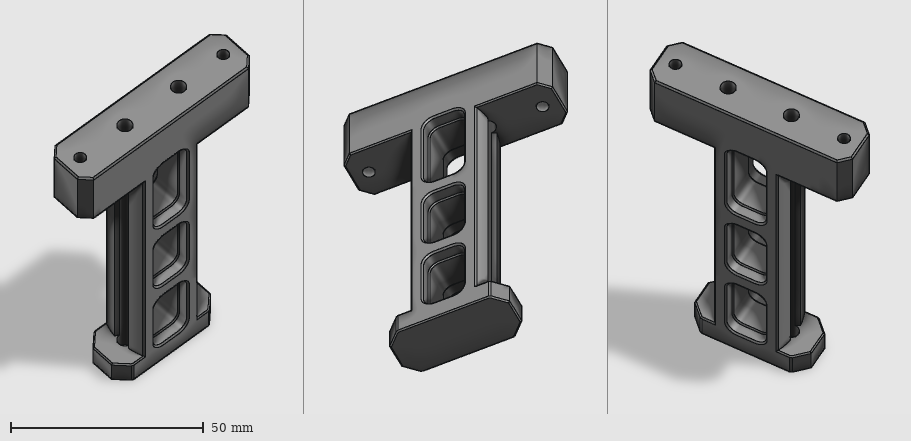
import cadquery as cq
import math

thickness = 15.0
total_height = 99.5
half_thickness = thickness / 2
edge_chamfer = 0.5
rim_chamfer = 0.4

head_length = 60.0
head_height = 17.4
head_corner = 3.0
head_bottom = total_height - head_height

foot_length = 34.5
foot_height = 7.0
foot_corner = 3.9

crown_apex = 10.7
crown_radius = 19.9
column_flat_half = 9.0
column_corner_x = half_thickness - edge_chamfer

end_hole_diameter = 3.3
end_hole_offset = 25.0
bolt_hole_diameter = 4.2
bolt_hole_offset = 9.4
bolt_hole_depth_in_foot = 5.0
flare_half_width = 2.7

window_width = 11.7
window_corner_radius = 3.3
window_pocket_depth = 3.2
window_ledge = 0.4
window_gap = 4.8
lowest_window_bottom = 6.7
window_heights = (20.8, 20.8, 26.6)


def plate(length, height, corner):
    """Plate on Z = 0 with its four upright corners cut at 45 degrees."""
    return (
        cq.Workplane("XY")
        .box(thickness, length, height, centered=(True, True, False))
        .edges("|Z")
        .chamfer(corner)
    )


def head_block():
    block = plate(head_length, head_height, head_corner)
    block = block.faces(">Z").chamfer(edge_chamfer)
    block = block.faces("<Z").chamfer(rim_chamfer)
    return block.translate((0, 0, head_bottom))


def foot_plate():
    foot = plate(foot_length, foot_height, foot_corner)
    foot = foot.faces("<X or >X").edges("|Z").chamfer(rim_chamfer)
    return foot.faces("<Z or >Z").chamfer(rim_chamfer)


def crown_point(x, side):
    """Point at a given X on the crowned column end of one side (1 is +Y, -1 is -Y)."""
    return x, side * (crown_apex - crown_radius + math.sqrt(crown_radius**2 - x**2))


def column():
    """Upright column; the flared mouths of the bolt grooves are part of its outline."""
    arc_middle_x = (column_corner_x + flare_half_width) / 2
    groove_half_width = bolt_hole_diameter / 2
    outline = cq.Workplane("XY").moveTo(half_thickness, -column_flat_half)
    for side in (1, -1):
        outline = (
            outline.lineTo(side * half_thickness, side * column_flat_half)
            .lineTo(*crown_point(side * column_corner_x, side))
            .threePointArc(
                crown_point(side * arc_middle_x, side),
                crown_point(side * flare_half_width, side),
            )
            .lineTo(side * groove_half_width, side * bolt_hole_offset)
            .lineTo(-side * groove_half_width, side * bolt_hole_offset)
            .lineTo(*crown_point(-side * flare_half_width, side))
            .threePointArc(
                crown_point(-side * arc_middle_x, side),
                crown_point(-side * column_corner_x, side),
            )
            .lineTo(-side * half_thickness, side * column_flat_half)
        )
    bottom = foot_height - rim_chamfer
    height = head_bottom + rim_chamfer - bottom
    return outline.close().extrude(height).translate((0, 0, bottom))


def vertical_holes(diameter, offset, bottom):
    return (
        cq.Workplane("XY", origin=(0, 0, bottom))
        .pushPoints([(0, offset), (0, -offset)])
        .circle(diameter / 2)
        .extrude(total_height - bottom)
    )


def rounded_prism(width, height, radius, depth):
    """Rounded rectangle in the YZ plane, extruded symmetrically along X."""
    return (
        cq.Workplane("XY")
        .box(depth, width, height)
        .edges("|X")
        .fillet(radius)
    )


def window(bottom, height):
    """Cutter for one window."""
    opening = rounded_prism(
        window_width - 2 * window_ledge,
        height - 2 * window_ledge,
        window_corner_radius - window_ledge,
        thickness,
    )
    pocket_depth = window_pocket_depth + window_ledge
    pocket = rounded_prism(window_width, height, window_corner_radius, pocket_depth)
    pocket = pocket.faces("<X").chamfer(window_ledge)
    pocket = pocket.translate((half_thickness - pocket_depth / 2, 0, 0))
    mouth = rounded_prism(
        window_width + 2 * edge_chamfer,
        height + 2 * edge_chamfer,
        window_corner_radius + edge_chamfer,
        2 * edge_chamfer,
    )
    mouth = mouth.faces("<X").chamfer(edge_chamfer)
    mouth = mouth.translate((half_thickness, 0, 0))
    side_cut = pocket.union(mouth)
    cutter = opening.union(side_cut).union(side_cut.mirror("YZ"))
    return cutter.translate((0, 0, bottom + height / 2))


bolt_hole_bottom = foot_height - bolt_hole_depth_in_foot

result = foot_plate().union(column()).union(head_block())
result = result.cut(vertical_holes(end_hole_diameter, end_hole_offset, head_bottom))
result = result.cut(vertical_holes(bolt_hole_diameter, bolt_hole_offset, bolt_hole_bottom))

window_bottom = lowest_window_bottom
for window_height in window_heights:
    result = result.cut(window(window_bottom, window_height))
    window_bottom += window_height + window_gap